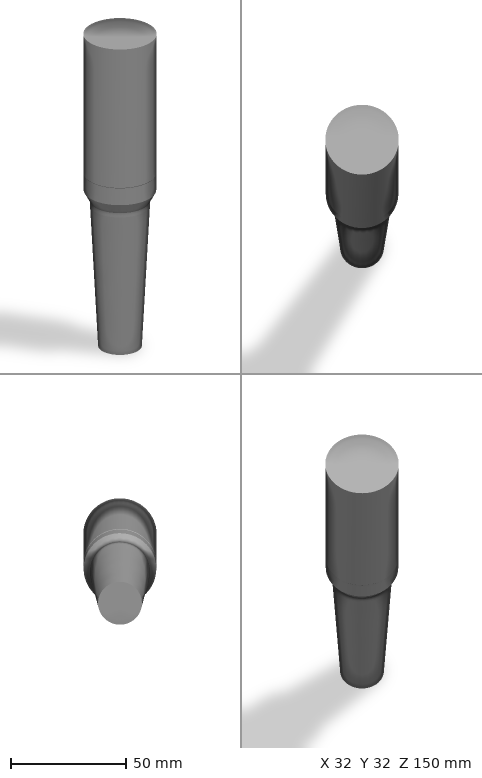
import cadquery as cq

total_length = 150.0
shank_diameter = 32.0
shank_length = 66.6
collar_step = 0.18
step_length = 0.3
collar_length = 8.1
shoulder_length = 5.1
neck_diameter = 26.1
neck_length = 2.1
tip_diameter = 19.0

collar_diameter = shank_diameter - 2 * collar_step

shank_bottom = total_length - shank_length
collar_top = shank_bottom - step_length
collar_bottom = collar_top - collar_length
shoulder_bottom = collar_bottom - shoulder_length
neck_bottom = shoulder_bottom - neck_length

half_profile = [
    (0, 0),
    (tip_diameter / 2, 0),
    (neck_diameter / 2, neck_bottom),
    (neck_diameter / 2, shoulder_bottom),
    (collar_diameter / 2, collar_bottom),
    (collar_diameter / 2, collar_top),
    (shank_diameter / 2, shank_bottom),
    (shank_diameter / 2, total_length),
    (0, total_length),
]

result = cq.Workplane("XZ").polyline(half_profile).close().revolve(360, (0, 0), (0, 1))